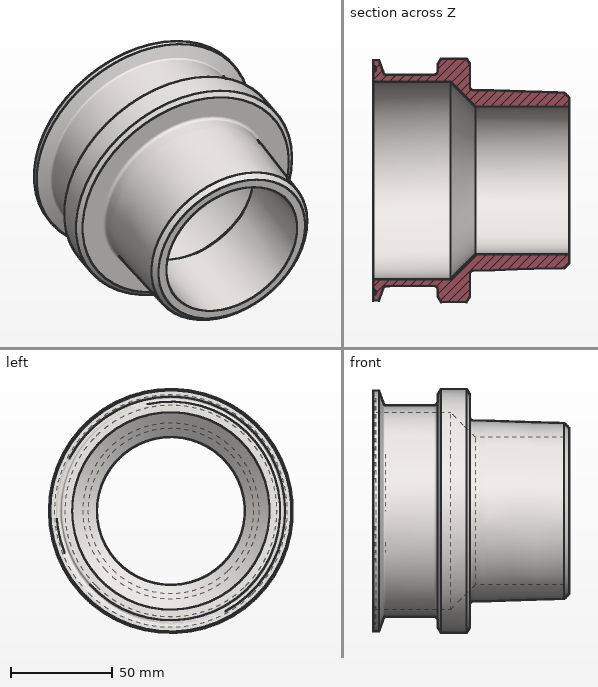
import cadquery as cq
import math

overall_length = 96.8
rim_width = 2.9
collar_start = 31.8
collar_end = 47.8
taper_start = 55.3

collar_radius = 120.4 / 2
flange_radius = 119.0 / 2
neck_radius = 104.5 / 2
spigot_radius = 89.3 / 2

flange_back_angle = 20.0
flange_fillet = 1.0
collar_fillet = 1.7
spigot_fillet = 1.6
collar_chamfer_length = 1.7
collar_chamfer_depth = 2.8
end_chamfer = 2.5
taper_per_length = 1 / 32

wide_bore_radius = 97.4 / 2
narrow_bore_radius = 72.8 / 2
cone_start = 38.2
cone_end = cone_start + wide_bore_radius - narrow_bore_radius

groove_inner_radius = 53.8
groove_outer_radius = 56.5
groove_depth = 1.3
groove_edge_fillet = 0.8


def revolve_about_x(profile):
    """Turn a closed profile, drawn as (axial, radial), about the X axis."""
    return profile.close().revolve(360, (0, 0, 0), (1, 0, 0))


def circle_edges(body, x, radius):
    """Select the circular edge of a given radius at a station along X."""
    tolerance = 0.06
    low = (x - tolerance, -radius - tolerance, -radius - tolerance)
    high = (x + tolerance, radius + tolerance, radius + tolerance)
    inner = radius - tolerance
    edges = body.edges(cq.selectors.BoxSelector(low, high, boundingbox=True))
    return edges.filter(lambda edge: edge.geomType() == "CIRCLE" and edge.radius() > inner)


def make_outer_body():
    back_length = (flange_radius - neck_radius) * math.tan(math.radians(flange_back_angle))
    flange_foot = rim_width + back_length
    taper_end_radius = spigot_radius - (overall_length - taper_start) * taper_per_length
    shoulder_radius = collar_radius - collar_chamfer_depth
    profile = (
        cq.Workplane("XY")
        .moveTo(0, 0)
        .lineTo(0, flange_radius)
        .lineTo(rim_width, flange_radius)
        .lineTo(flange_foot, neck_radius)
        .lineTo(collar_start, neck_radius)
        .lineTo(collar_start, shoulder_radius)
        .lineTo(collar_start + collar_chamfer_length, collar_radius)
        .lineTo(collar_end - collar_chamfer_length, collar_radius)
        .lineTo(collar_end, shoulder_radius)
        .lineTo(collar_end, spigot_radius)
        .lineTo(taper_start, spigot_radius)
        .lineTo(overall_length, taper_end_radius)
        .lineTo(overall_length, 0)
    )
    body = revolve_about_x(profile)
    body = circle_edges(body, flange_foot, neck_radius).fillet(flange_fillet)
    body = circle_edges(body, collar_start, neck_radius).fillet(collar_fillet)
    body = circle_edges(body, collar_end, spigot_radius).fillet(spigot_fillet)
    return circle_edges(body, overall_length, taper_end_radius).chamfer(end_chamfer)


def make_bore():
    return revolve_about_x(
        cq.Workplane("XY")
        .moveTo(0, 0)
        .lineTo(0, wide_bore_radius)
        .lineTo(cone_start, wide_bore_radius)
        .lineTo(cone_end, narrow_bore_radius)
        .lineTo(overall_length, narrow_bore_radius)
        .lineTo(overall_length, 0)
    )


def cut_gasket_groove(body):
    middle_radius = (groove_inner_radius + groove_outer_radius) / 2
    groove = revolve_about_x(
        cq.Workplane("XY")
        .moveTo(0, groove_inner_radius)
        .threePointArc((groove_depth, middle_radius), (0, groove_outer_radius))
    )
    body = body.cut(groove)
    for radius in (groove_inner_radius, groove_outer_radius):
        body = circle_edges(body, 0, radius).fillet(groove_edge_fillet)
    return body


result = cut_gasket_groove(make_outer_body().cut(make_bore()))